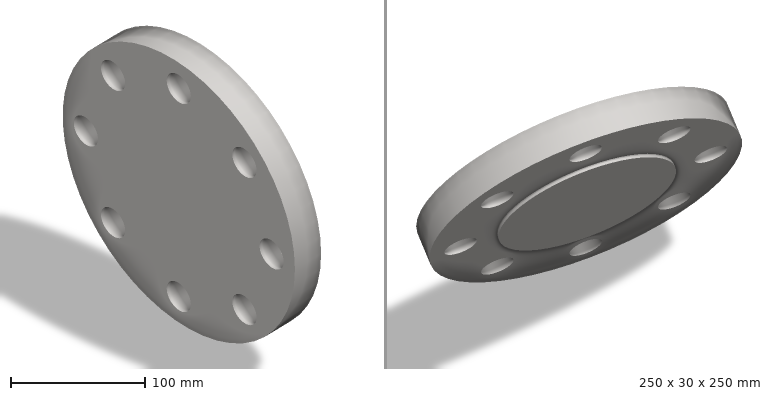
import cadquery as cq

flange_diameter = 250.0
total_thickness = 30.0
raised_face_height = 3.0
raised_face_diameter = 142.0
flange_thickness = total_thickness - raised_face_height

bolt_count = 8
bolt_circle_diameter = 200.0
bolt_hole_diameter = 26.0


def disc(diameter, start_y, thickness):
    """Solid disc reaching from start_y toward +Y."""
    plane = cq.Workplane("XZ", origin=(0, start_y, 0))
    return plane.circle(diameter / 2).extrude(-thickness)


def bolt_holes():
    """Through-hole cutters, the first one on the +X axis."""
    return (
        cq.Workplane("XZ")
        .polarArray(bolt_circle_diameter / 2, 0, 360, bolt_count)
        .circle(bolt_hole_diameter / 2)
        .extrude(-flange_thickness)
    )


flange = disc(flange_diameter, 0, flange_thickness)
raised_face = disc(raised_face_diameter, flange_thickness, raised_face_height)

result = flange.union(raised_face).cut(bolt_holes())